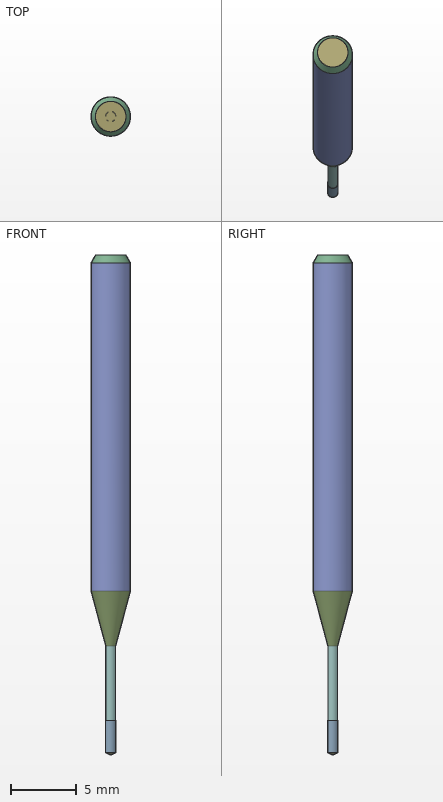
import cadquery as cq
import math

total_length = 38.18
shank_diameter = 3.0

cutter_diameter = 0.8
cutter_length = 2.65
point_angle = 130.0

neck_diameter = 0.75
neck_top = 8.32
cone_half_angle = 15.0

bevel_width = 0.35
bevel_height = 0.6

shank_radius = shank_diameter / 2
cutter_radius = cutter_diameter / 2
neck_radius = neck_diameter / 2
point_height = cutter_radius / math.tan(math.radians(point_angle / 2))
cone_height = (shank_radius - neck_radius) / math.tan(math.radians(cone_half_angle))
cone_top = neck_top + cone_height


def revolve_about_z(profile):
    """Turn a closed (radius, height) outline into a solid around the Z axis."""
    return cq.Workplane("XZ").polyline(profile).close().revolve(360, (0, 0, 0), (0, 1, 0))


def make_cutter():
    """Cylindrical cutting tip with a conical point."""
    return revolve_about_z([
        (0, 0),
        (cutter_radius, point_height),
        (cutter_radius, cutter_length),
        (0, cutter_length),
    ])


def make_shank():
    """Thin neck, cone and beveled cylindrical shank, standing on the cutting tip."""
    return revolve_about_z([
        (0, cutter_length),
        (neck_radius, cutter_length),
        (neck_radius, neck_top),
        (shank_radius, cone_top),
        (shank_radius, total_length - bevel_height),
        (shank_radius - bevel_width, total_length),
        (0, total_length),
    ])


cutter = make_cutter()
shank = make_shank()

result = cq.Compound.makeCompound([cutter.val(), shank.val()])